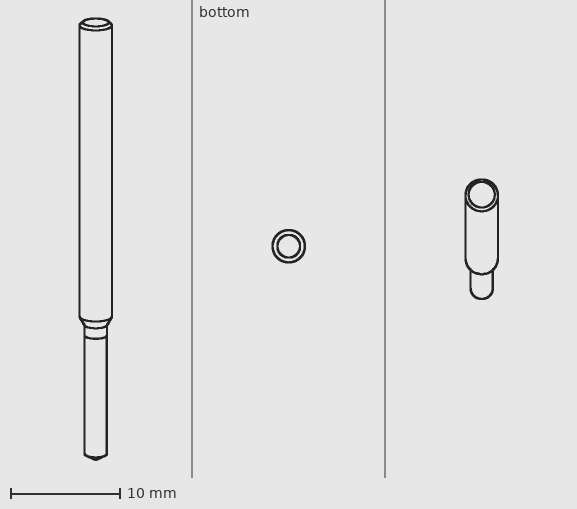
import cadquery as cq
import math

total_length = 42.0
shank_diameter = 3.0
neck_diameter = 2.1
cutter_diameter = 2.05
cutter_length = 11.95
neck_length = 1.0
shoulder_height = 0.8
end_chamfer = 0.3
point_angle = 120.0

shank_radius = shank_diameter / 2
neck_radius = neck_diameter / 2
cutter_radius = cutter_diameter / 2
point_height = cutter_radius / math.tan(math.radians(point_angle / 2))
neck_top = cutter_length + neck_length
shoulder_top = neck_top + shoulder_height


def revolve_profile(points):
    """Revolve a closed (radius, height) outline a full turn about Z."""
    return cq.Workplane("XZ").polyline(points).close().revolve(360, (0, 0), (0, 1))


def make_shank():
    """Chamfered shank with a conical shoulder and a short neck."""
    return revolve_profile([
        (0, cutter_length),
        (neck_radius, cutter_length),
        (neck_radius, neck_top),
        (shank_radius, shoulder_top),
        (shank_radius, total_length - end_chamfer),
        (shank_radius - end_chamfer, total_length),
        (0, total_length),
    ])


def make_cutter():
    """Cylindrical cutter with a conical point, butted against the neck."""
    return revolve_profile([
        (0, 0),
        (cutter_radius, point_height),
        (cutter_radius, cutter_length),
        (0, cutter_length),
    ])


shank = make_shank()
cutter = make_cutter()

result = cq.Compound.makeCompound([shank.val(), cutter.val()])